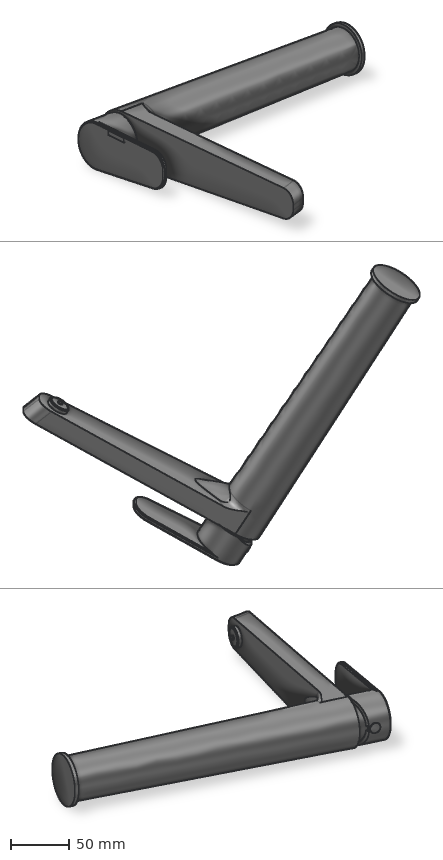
import cadquery as cq
import math

OVERALL_LENGTH = 301.2

FLANGE_RADIUS = 23.5
FLANGE_THICKNESS = 3.5
FLANGE_FACE_Y = OVERALL_LENGTH - FLANGE_THICKNESS

COLUMN_START_Y = 31.0
COLUMN_BASE_RADIUS = FLANGE_RADIUS
COLUMN_END_RADIUS = 20.2

SPOUT_DEPTH = 17.5
SPOUT_BACK_Y = COLUMN_START_Y + SPOUT_DEPTH
SPOUT_TIP_X = 213.5
SPOUT_NOSE_SETBACK = 5.7
SPOUT_NOSE_RADIUS = 12.0
SPOUT_TAPER = math.radians(2.6)

BLEND_RADIUS = 9.0
GUSSET_AXIS_Y = 39.0
GUSSET_END_X = 51.8
GUSSET_END_RADIUS = SPOUT_BACK_Y - GUSSET_AXIS_Y
GUSSET_SLOPE = 0.33

NECK_BASE_RADIUS = 20.0
NECK_END_RADIUS = 35.2 / 2
NECK_END_Y = 20.5

HANDLE_CENTER_X = 1.0
HANDLE_RADIUS = 22.3
HANDLE_BACK_Y = 29.0
HANDLE_CUT_START_X = -2.5
HANDLE_CUT_SLOPE = 0.41
LEVER_THICKNESS = 4.2
LEVER_TIP_X = 85.5
LEVER_TAPER = math.radians(3.5)
LEVER_CORNER_RADIUS = 15.0
EDGE_CHAMFER = 1.05

PLUG_Y = 15.5
PLUG_RADIUS = 9.5 / 2
PLUG_HOLE_RADIUS = 10.0 / 2
PLUG_DEPTH = 4.0
PLUG_FLOOR_X = HANDLE_CENTER_X - HANDLE_RADIUS + PLUG_DEPTH
PLUG_DOME_HEIGHT = 0.5
PLUG_SLOT_WIDTH = 4.2

MARKER_START_X = 16.5
MARKER_LENGTH = 19.5
MARKER_HEIGHT = 4.2
MARKER_DEPTH = 1.5
MARKER_EDGE_GAP = 1.5

AERATOR_X = 189.5
AERATOR_STEPS = [(19.0 / 2, 3.3), (16.5 / 2, 1.0), (2.0, 1.2)]


def plane_at(y, x=0.0):
    """Workplane parallel to XZ; a negative extrusion runs toward +Y."""
    return cq.Workplane("XZ", origin=(x, y, 0))


def revolve_about_y(profile):
    """Turn a closed (radius, y) profile about the Y axis."""
    return cq.Workplane("XY").polyline(profile).close().revolve(360, (0, 0, 0), (0, 1, 0))


def column_radius(y):
    travelled = (y - COLUMN_START_Y) / (FLANGE_FACE_Y - COLUMN_START_Y)
    return COLUMN_BASE_RADIUS + travelled * (COLUMN_END_RADIUS - COLUMN_BASE_RADIUS)


def tapered_tongue(y, depth, radius, taper, tip_x):
    """Prism with straight sides, starting where they leave a circle of the given radius tangentially."""
    root_x = radius * math.sin(taper)
    root_z = radius * math.cos(taper)
    tip_z = root_z - (tip_x - root_x) * math.tan(taper)
    return (
        plane_at(y)
        .moveTo(root_x, root_z)
        .lineTo(tip_x, tip_z)
        .lineTo(tip_x, -tip_z)
        .lineTo(root_x, -root_z)
        .close()
        .extrude(-depth)
    )


def make_flange():
    return plane_at(FLANGE_FACE_Y).circle(FLANGE_RADIUS).extrude(-FLANGE_THICKNESS)


def make_spout():
    """Tongue whose nose leans back toward the column and has rounded corners."""
    tongue = tapered_tongue(COLUMN_START_Y, SPOUT_DEPTH, COLUMN_BASE_RADIUS, SPOUT_TAPER, SPOUT_TIP_X)
    nose_waste = (
        cq.Workplane("XY")
        .moveTo(SPOUT_TIP_X, COLUMN_START_Y)
        .lineTo(SPOUT_TIP_X, SPOUT_BACK_Y)
        .lineTo(SPOUT_TIP_X - SPOUT_NOSE_SETBACK, SPOUT_BACK_Y)
        .close()
        .extrude(COLUMN_BASE_RADIUS, both=True)
    )
    nose_corners = cq.selectors.BoxSelector(
        (SPOUT_TIP_X - SPOUT_NOSE_SETBACK, COLUMN_START_Y, -COLUMN_BASE_RADIUS),
        (SPOUT_TIP_X, SPOUT_BACK_Y, COLUMN_BASE_RADIUS),
    )
    leaning = tongue.cut(nose_waste)
    return leaning.edges(nose_corners).edges("not(#Y or |Z)").fillet(SPOUT_NOSE_RADIUS)


def make_root_blend():
    """Concave ring between column and spout, trimmed to the width of the spout."""
    top_y = SPOUT_BACK_Y + BLEND_RADIUS
    top_radius = column_radius(top_y)
    outer_radius = top_radius + BLEND_RADIUS
    arc_dip = BLEND_RADIUS * math.sqrt(0.5)
    ring = (
        cq.Workplane("XY")
        .moveTo(0, COLUMN_START_Y)
        .lineTo(outer_radius, COLUMN_START_Y)
        .lineTo(outer_radius, SPOUT_BACK_Y)
        .threePointArc((outer_radius - arc_dip, top_y - arc_dip), (top_radius, top_y))
        .lineTo(0, top_y)
        .close()
        .revolve(360, (0, 0, 0), (0, 1, 0))
    )
    limits = tapered_tongue(
        COLUMN_START_Y, SPOUT_DEPTH + BLEND_RADIUS, COLUMN_BASE_RADIUS, SPOUT_TAPER, SPOUT_TIP_X
    )
    return ring.intersect(limits)


def make_gusset():
    """Conical ridge on the back of the spout that runs out along its length."""
    start_x = COLUMN_BASE_RADIUS / 2
    length = GUSSET_END_X - start_x
    start_radius = GUSSET_END_RADIUS + GUSSET_SLOPE * length
    cone = cq.Workplane(
        cq.Solid.makeCone(
            start_radius, GUSSET_END_RADIUS, length, cq.Vector(start_x, GUSSET_AXIS_Y, 0), cq.Vector(1, 0, 0)
        )
    )
    above_spout = cq.Workplane("XY", origin=(0, GUSSET_AXIS_Y, 0)).box(
        GUSSET_END_X, start_radius, 2 * start_radius, centered=(False, False, True)
    )
    return cone.intersect(above_spout)


def make_column():
    barrel = revolve_about_y(
        [
            (0, COLUMN_START_Y),
            (COLUMN_BASE_RADIUS, COLUMN_START_Y),
            (COLUMN_END_RADIUS, FLANGE_FACE_Y),
            (0, FLANGE_FACE_Y),
        ]
    )
    return barrel.union(make_spout()).union(make_root_blend()).union(make_gusset())


def make_neck():
    return revolve_about_y(
        [
            (0, COLUMN_START_Y),
            (NECK_BASE_RADIUS, COLUMN_START_Y),
            (NECK_END_RADIUS, NECK_END_Y),
            (0, NECK_END_Y),
        ]
    )


def make_lever_plate():
    plate = tapered_tongue(0, LEVER_THICKNESS, HANDLE_RADIUS, LEVER_TAPER, LEVER_TIP_X - HANDLE_CENTER_X)
    plate = plate.edges("|Y and >X").fillet(LEVER_CORNER_RADIUS)
    plate = plate.faces(">Y").chamfer(EDGE_CHAMFER)
    return plate.translate((HANDLE_CENTER_X, 0, 0))


def make_tilt_waste():
    """Wedge that slopes the back of the handle away from the column."""
    outer_x = HANDLE_CENTER_X - 2 * HANDLE_RADIUS
    drop = (HANDLE_CUT_START_X - outer_x) * HANDLE_CUT_SLOPE
    return (
        cq.Workplane("XY")
        .moveTo(HANDLE_CUT_START_X, HANDLE_BACK_Y)
        .lineTo(outer_x, HANDLE_BACK_Y)
        .lineTo(outer_x, HANDLE_BACK_Y - drop)
        .close()
        .extrude(HANDLE_RADIUS, both=True)
    )


def make_marker():
    """Strip that follows the sloping upper edge of the lever."""
    slope = math.tan(LEVER_TAPER)
    edge_z = HANDLE_RADIUS / math.cos(LEVER_TAPER) - (MARKER_START_X - HANDLE_CENTER_X) * slope
    top_z = edge_z - MARKER_EDGE_GAP
    return (
        plane_at(0)
        .moveTo(MARKER_START_X, top_z)
        .line(MARKER_LENGTH, -MARKER_LENGTH * slope)
        .line(0, -MARKER_HEIGHT)
        .line(-MARKER_LENGTH, MARKER_LENGTH * slope)
        .close()
        .extrude(-MARKER_DEPTH)
    )


def make_plug():
    """Round plug with a slightly domed outer end."""
    dome_end = PLUG_DEPTH + PLUG_DOME_HEIGHT
    dome_radius = (PLUG_RADIUS**2 + PLUG_DOME_HEIGHT**2) / (2 * PLUG_DOME_HEIGHT)
    arc_mid_y = PLUG_RADIUS / 2
    arc_mid_x = dome_end - dome_radius + math.sqrt(dome_radius**2 - arc_mid_y**2)
    return (
        cq.Workplane("XY", origin=(PLUG_FLOOR_X, PLUG_Y, 0))
        .lineTo(0, PLUG_RADIUS)
        .lineTo(-PLUG_DEPTH, PLUG_RADIUS)
        .threePointArc((-arc_mid_x, arc_mid_y), (-dome_end, 0))
        .close()
        .revolve(360, (0, 0, 0), (1, 0, 0))
    )


def make_plug_pocket():
    """Hole for the plug, with a slot from it to the sloping back edge."""
    pocket_length = 2 * PLUG_DEPTH
    hole = (
        cq.Workplane("YZ", origin=(PLUG_FLOOR_X, PLUG_Y, 0))
        .circle(PLUG_HOLE_RADIUS)
        .extrude(-pocket_length)
    )
    slot = cq.Workplane("XY", origin=(PLUG_FLOOR_X - pocket_length, PLUG_Y, 0)).box(
        pocket_length, HANDLE_BACK_Y - PLUG_Y, PLUG_SLOT_WIDTH, centered=(False, False, True)
    )
    return hole.union(slot)


def make_handle(neck, marker):
    cap = plane_at(0, HANDLE_CENTER_X).circle(HANDLE_RADIUS).extrude(-HANDLE_BACK_Y)
    body = cap.union(make_lever_plate()).faces("<Y").chamfer(EDGE_CHAMFER)
    return body.cut(make_tilt_waste()).cut(neck).cut(make_plug_pocket()).cut(marker)


def make_aerator():
    """Stack of discs that get smaller away from the spout."""
    aerator = None
    y = SPOUT_BACK_Y
    for radius, height in AERATOR_STEPS:
        disc = plane_at(y, AERATOR_X).circle(radius).extrude(-height)
        aerator = disc if aerator is None else aerator.union(disc)
        y += height
    return aerator


flange = make_flange()
column = make_column()
neck = make_neck()
marker = make_marker()
handle = make_handle(neck, marker)
plug = make_plug()
aerator = make_aerator()

bodies = [flange, column, neck, handle, marker, plug, aerator]
result = cq.Compound.makeCompound([body.solids().val() for body in bodies])